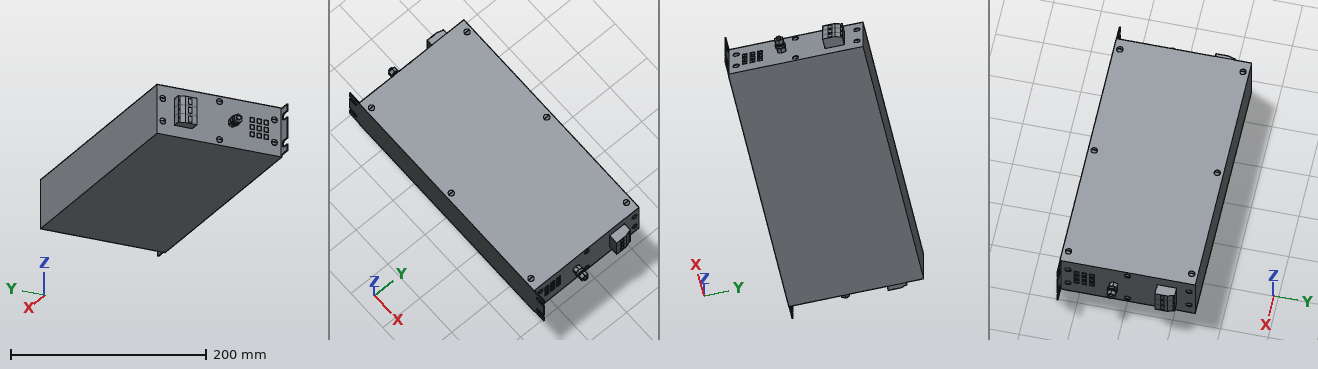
import cadquery as cq
import math


BODY_LENGTH = 275.0
BODY_DEPTH = 142.0
BODY_HEIGHT = 54.7
HALF_LENGTH = BODY_LENGTH / 2
MID_HEIGHT = BODY_HEIGHT / 2

EAR_SPAN = 304.7
EAR_THICKNESS = 1.2
EAR_BOTTOM = 1.8
EAR_TOP = 53.5
EAR_SLOT_WIDTH = 7.0
EAR_SLOT_SPACING = 30.0
EAR_SLOT_CENTRE_X = 144.7

HEAD_DIAMETER = 6.5
HEAD_HEIGHT = 1.5
HEAD_RIM = 0.3
HEAD_SLOT_WIDTH = 0.3
HEAD_SLOT_DEPTH = 0.5
LID_SCREW_X = 125.0
LID_SCREW_EDGE = 6.5
END_SCREW_BACK_Y = 135.5
END_SCREW_FRONT_Y = 8.5
END_SCREW_CORNER_OFFSET = 12.5
END_SCREW_MIDDLE_OFFSET = 21.2

CELL_COUNT = 3
CELL_HEIGHT = 9.8
BLOCK_FRONT_Y = 102.0
BLOCK_BACK_Y = 122.3
BLOCK_REACH = 148.7
BLOCK_STEP_REACH = 146.8
BLOCK_STEP_WIDTH = 1.8
BLOCK_SLOPE_END_Y = 115.2
WINDOW_WIDTH = 4.0
WINDOW_HEIGHT = 6.5
WINDOW_DEPTH = 0.3
WINDOW_CENTRE_Y = 109.7
PORT_WIDTH = 1.0
PORT_HEIGHT = 1.2
PORT_DEPTH = 1.0

STUD_Y = 56.5
STUD_DIAMETER = 4.5
STUD_END = 153.5
NUT_FLATS = 8.3
INNER_NUT_END = 143.0
WASHER_DIAMETER = 10.5
WASHER_END = 145.3
SPRING_WASHER_DIAMETER = 7.5
SPRING_WASHER_END = 146.8
OUTER_NUT_END = 151.8

VENT_ROWS = 3
VENT_SIZE = 5.0
VENT_PITCH = 8.0
VENT_CENTRE_Y = 25.5
VENT_DEPTH = 1.0


def ear_plate():
    """Thin front plate with two open-ended slots in each ear."""
    plate = cq.Workplane("XY").box(
        EAR_SPAN, EAR_THICKNESS, EAR_TOP - EAR_BOTTOM, centered=(True, False, False)
    ).translate((0, 0, EAR_BOTTOM))
    slot_length = 2 * (EAR_SPAN / 2 - EAR_SLOT_CENTRE_X) + EAR_SLOT_WIDTH
    slots = (
        cq.Workplane("XZ", origin=(0, 0, MID_HEIGHT))
        .rarray(EAR_SPAN, EAR_SLOT_SPACING, 2, 2)
        .slot2D(slot_length, EAR_SLOT_WIDTH)
        .extrude(-EAR_THICKNESS)
    )
    return plate.cut(slots)


def screw_head():
    """Domed head on the XY plane, with its slot along Y."""
    radius = HEAD_DIAMETER / 2
    dome_height = HEAD_HEIGHT - HEAD_RIM
    sphere_radius = (radius**2 + dome_height**2) / (2 * dome_height)
    mid_radius = radius / 2
    mid_height = HEAD_HEIGHT - sphere_radius + math.sqrt(sphere_radius**2 - mid_radius**2)
    head = (
        cq.Workplane("XZ")
        .lineTo(radius, 0)
        .lineTo(radius, HEAD_RIM)
        .threePointArc((mid_radius, mid_height), (0, HEAD_HEIGHT))
        .close()
        .revolve(360, (0, 0, 0), (0, 1, 0))
    )
    slot = cq.Workplane("XY", origin=(0, 0, HEAD_HEIGHT)).box(
        HEAD_SLOT_WIDTH, HEAD_DIAMETER, 2 * HEAD_SLOT_DEPTH
    )
    return head.cut(slot)


def lid_screw_places():
    """Places of the six screws on the lid."""
    return [
        (x, y, BODY_HEIGHT)
        for x in (-LID_SCREW_X, 0, LID_SCREW_X)
        for y in (LID_SCREW_EDGE, BODY_DEPTH - LID_SCREW_EDGE)
    ]


def end_screw_places():
    """Places of the six screws on the left end face."""
    columns = [
        (END_SCREW_BACK_Y, END_SCREW_CORNER_OFFSET),
        (BODY_DEPTH / 2, END_SCREW_MIDDLE_OFFSET),
        (END_SCREW_FRONT_Y, END_SCREW_CORNER_OFFSET),
    ]
    return [
        (-HALF_LENGTH, y, MID_HEIGHT + side * offset)
        for y, offset in columns
        for side in (-1, 1)
    ]


def terminal_cell(bottom):
    """One cell of the left terminal block, with its window and the small port in its step."""
    step_y = BLOCK_BACK_Y - BLOCK_STEP_WIDTH
    middle = bottom + CELL_HEIGHT / 2
    cell = (
        cq.Workplane("XY", origin=(0, 0, bottom))
        .polyline(
            [
                (-HALF_LENGTH, BLOCK_FRONT_Y),
                (-BLOCK_REACH, BLOCK_FRONT_Y),
                (-BLOCK_REACH, BLOCK_SLOPE_END_Y),
                (-BLOCK_STEP_REACH, step_y),
                (-BLOCK_STEP_REACH, BLOCK_BACK_Y),
                (-HALF_LENGTH, BLOCK_BACK_Y),
            ]
        )
        .close()
        .extrude(CELL_HEIGHT)
    )
    window = cq.Workplane("XY", origin=(-BLOCK_REACH, WINDOW_CENTRE_Y, middle)).box(
        2 * WINDOW_DEPTH, WINDOW_WIDTH, WINDOW_HEIGHT
    )
    port_y = BLOCK_BACK_Y - BLOCK_STEP_WIDTH / 2
    port = cq.Workplane("XY", origin=(-BLOCK_STEP_REACH, port_y, middle)).box(
        2 * PORT_DEPTH, PORT_WIDTH, PORT_HEIGHT
    )
    return cell.cut(window).cut(port)


def terminal_block():
    """Stack of equal cells, centred on the height of the left end face."""
    first_bottom = MID_HEIGHT - CELL_COUNT * CELL_HEIGHT / 2
    block = terminal_cell(first_bottom)
    for index in range(1, CELL_COUNT):
        block = block.union(terminal_cell(first_bottom + index * CELL_HEIGHT), clean=False)
    return block


def earth_stud():
    """Left stud with an inner nut, flat washer, spring washer and outer nut."""

    def plane_at(distance):
        return cq.Workplane("YZ", origin=(-distance, STUD_Y, MID_HEIGHT))

    def disc(start, end, diameter):
        return plane_at(start).circle(diameter / 2).extrude(start - end)

    def nut(start, end):
        across_corners = NUT_FLATS / math.cos(math.pi / 6)
        hexagon = plane_at(start).transformed(rotate=(0, 0, 90)).polygon(6, across_corners)
        return hexagon.extrude(start - end)

    stud = disc(HALF_LENGTH, STUD_END, STUD_DIAMETER)
    return (
        stud.union(nut(HALF_LENGTH, INNER_NUT_END))
        .union(disc(INNER_NUT_END, WASHER_END, WASHER_DIAMETER))
        .union(disc(WASHER_END, SPRING_WASHER_END, SPRING_WASHER_DIAMETER))
        .union(nut(SPRING_WASHER_END, OUTER_NUT_END))
    )


def vents():
    """Square recesses cut into the left end face."""
    return (
        cq.Workplane("YZ", origin=(-HALF_LENGTH, VENT_CENTRE_Y, MID_HEIGHT))
        .rarray(VENT_PITCH, VENT_PITCH, VENT_ROWS, VENT_ROWS)
        .rect(VENT_SIZE, VENT_SIZE)
        .extrude(VENT_DEPTH)
    )


enclosure = cq.Workplane("XY").box(
    BODY_LENGTH, BODY_DEPTH, BODY_HEIGHT, centered=(True, False, False)
)
result = enclosure.union(ear_plate())

lid_head = screw_head()
for place in lid_screw_places():
    result = result.union(lid_head.translate(place), clean=False)

end_head = lid_head.rotate((0, 0, 0), (0, 1, 0), -90)
end_parts = [end_head.translate(place) for place in end_screw_places()]
end_parts += [terminal_block(), earth_stud()]
for part in end_parts:
    result = result.union(part, clean=False)
    result = result.union(part.mirror("YZ"), clean=False)
left_vents = vents()
result = result.cut(left_vents, clean=False)
result = result.cut(left_vents.mirror("YZ"), clean=False)